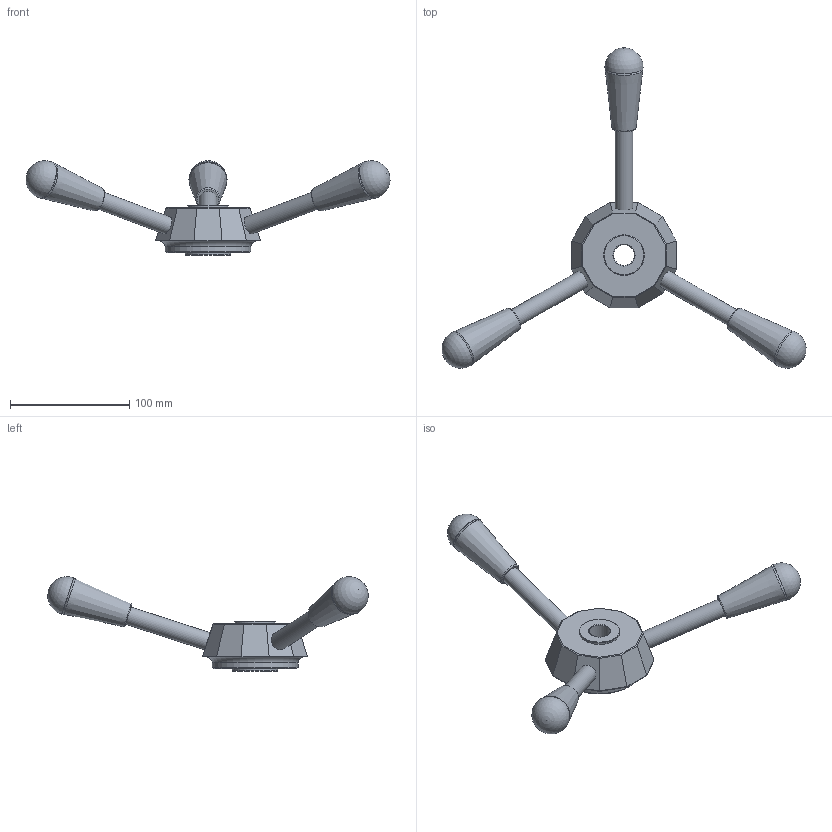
import cadquery as cq
import math

HUB_SIDES = 12
HUB_BASE_Z = 12.0
HUB_RIM_HEIGHT = 0.5
HUB_TOP_Z = 40.0
HUB_WIDTH = 88.0
HUB_TAPER = 18.0
HUB_TOP_CHAMFER = 0.6

FLANGE_DIAMETER = 72.0
FLANGE_CHAMFER = 1.0
FLANGE_FLARE_RADIUS = 5.0
SPIGOT_DIAMETER = 38.0
SPIGOT_HEIGHT = 2.0
BOSS_DIAMETER = 34.0
BOSS_HEIGHT = 2.0
BORE_DIAMETER = 17.5
EDGE_CHAMFER = 0.5

ARM_COUNT = 3
FIRST_ARM_ANGLE = 90.0
ARM_TILT = 18.0
ROD_DIAMETER = 15.0
ROD_ROOT_DEPTH = 10.0
BALL_DIAMETER = 32.0
BALL_CENTRE_RADIUS = 157.7
BALL_CENTRE_Z = 63.31
GRIP_LENGTH = 54.2
GRIP_LARGE_DIAMETER = 31.4
GRIP_SMALL_DIAMETER = 20.2
GRIP_END_FILLET = 1.0
BALL_LIP_LENGTH = 0.8
GRIP_LEAD_DIAMETER = 30.4
GRIP_LEAD_LENGTH = 1.6


def make_hub():
    rim_top_z = HUB_BASE_Z + HUB_RIM_HEIGHT
    corner_diameter = HUB_WIDTH / math.cos(math.pi / HUB_SIDES)
    half_side_angle = 180.0 / HUB_SIDES

    def outline(z):
        plane = cq.Workplane("XY", origin=(0, 0, z))
        return plane.transformed(rotate=(0, 0, half_side_angle)).polygon(HUB_SIDES, corner_diameter)

    rim = outline(HUB_BASE_Z).extrude(HUB_RIM_HEIGHT)
    body = outline(rim_top_z).extrude(HUB_TOP_Z - rim_top_z, taper=HUB_TAPER)
    body = body.faces(">Z").chamfer(HUB_TOP_CHAMFER)
    return rim.union(body)


def make_turned_parts():
    """Spigot, flared flange, core and upper boss as one revolved profile."""
    spigot_radius = SPIGOT_DIAMETER / 2
    flange_radius = FLANGE_DIAMETER / 2
    boss_radius = BOSS_DIAMETER / 2
    flare_start_z = HUB_BASE_Z - FLANGE_FLARE_RADIUS
    flare_centre_radius = flange_radius + FLANGE_FLARE_RADIUS
    flare_offset = FLANGE_FLARE_RADIUS * math.sqrt(0.5)
    boss_top_z = HUB_TOP_Z + BOSS_HEIGHT
    return (
        cq.Workplane("XZ")
        .lineTo(spigot_radius - EDGE_CHAMFER, 0)
        .lineTo(spigot_radius, EDGE_CHAMFER)
        .lineTo(spigot_radius, SPIGOT_HEIGHT)
        .lineTo(flange_radius - FLANGE_CHAMFER, SPIGOT_HEIGHT)
        .lineTo(flange_radius, SPIGOT_HEIGHT + FLANGE_CHAMFER)
        .lineTo(flange_radius, flare_start_z)
        .threePointArc(
            (flare_centre_radius - flare_offset, flare_start_z + flare_offset),
            (flare_centre_radius, HUB_BASE_Z),
        )
        .lineTo(boss_radius, HUB_BASE_Z)
        .lineTo(boss_radius, boss_top_z - EDGE_CHAMFER)
        .lineTo(boss_radius - EDGE_CHAMFER, boss_top_z)
        .lineTo(0, boss_top_z)
        .close()
        .revolve(360, (0, 0, 0), (0, 1, 0))
    )


def make_arm():
    """Arm rising along +X, turned about its own axis and then tilted into place."""
    ball_radius = BALL_DIAMETER / 2
    rod_radius = ROD_DIAMETER / 2
    lip_radius = math.sqrt(ball_radius**2 - BALL_LIP_LENGTH**2)
    large_radius = GRIP_LARGE_DIAMETER / 2
    lead_radius = GRIP_LEAD_DIAMETER / 2
    small_radius = GRIP_SMALL_DIAMETER / 2
    root_radius = HUB_WIDTH / 2 - ROD_ROOT_DEPTH
    rod_length = (BALL_CENTRE_RADIUS - root_radius) / math.cos(math.radians(ARM_TILT))
    arc_middle = ball_radius * math.sqrt(0.5)

    rod = cq.Workplane("YZ").circle(rod_radius).extrude(-rod_length)
    grip = (
        cq.Workplane("XY")
        .moveTo(-GRIP_LENGTH, 0)
        .lineTo(-GRIP_LENGTH, small_radius)
        .lineTo(-BALL_LIP_LENGTH - GRIP_LEAD_LENGTH, large_radius)
        .lineTo(-BALL_LIP_LENGTH, lead_radius)
        .lineTo(-BALL_LIP_LENGTH, lip_radius)
        .threePointArc((arc_middle, arc_middle), (ball_radius, 0))
        .close()
        .revolve(360, (0, 0, 0), (1, 0, 0))
        .faces("<X")
        .edges()
        .fillet(GRIP_END_FILLET)
    )
    return (
        rod.union(grip)
        .rotate((0, 0, 0), (0, 1, 0), -ARM_TILT)
        .translate((BALL_CENTRE_RADIUS, 0, BALL_CENTRE_Z))
    )


def make_bore():
    """Through bore with a chamfered mouth at the top of the boss."""
    top_z = HUB_TOP_Z + BOSS_HEIGHT
    bore_radius = BORE_DIAMETER / 2
    return (
        cq.Workplane("XZ")
        .lineTo(bore_radius, 0)
        .lineTo(bore_radius, top_z - EDGE_CHAMFER)
        .lineTo(bore_radius + EDGE_CHAMFER, top_z)
        .lineTo(0, top_z)
        .close()
        .revolve(360, (0, 0, 0), (0, 1, 0))
    )


result = make_hub().union(make_turned_parts())

arm = make_arm()
for index in range(ARM_COUNT):
    arm_angle = FIRST_ARM_ANGLE + index * 360.0 / ARM_COUNT
    result = result.union(arm.rotate((0, 0, 0), (0, 0, 1), arm_angle))

result = result.cut(make_bore())